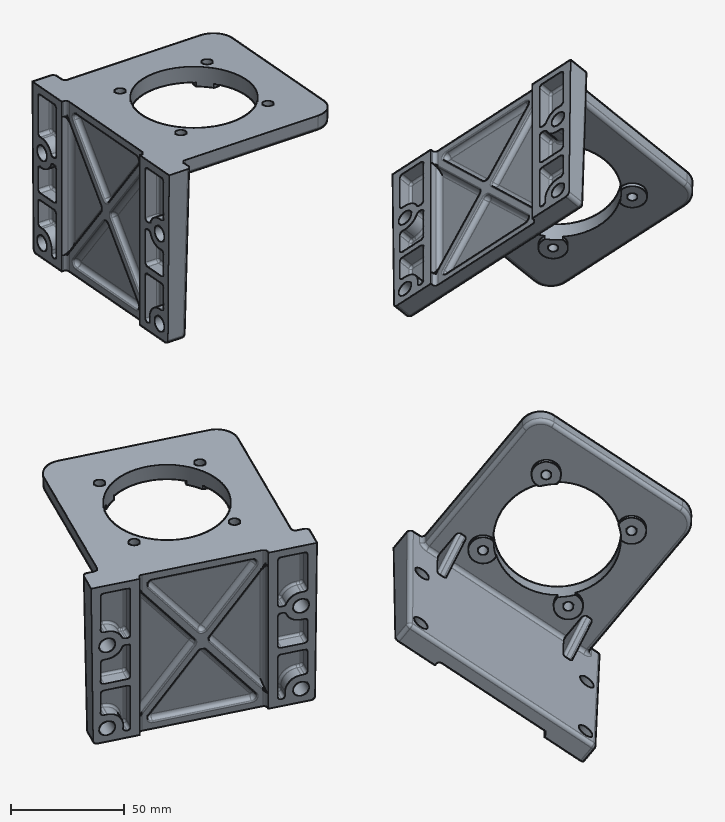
import cadquery as cq
import math

WIDTH = 105.0
DEPTH = 95.0
HEIGHT = 85.0

MARGIN = 0.1

PLATE_BOTTOM_WIDTH = 103.1
PLATE_TOP_THICKNESS = 11.8
PLATE_BOTTOM_THICKNESS = 10.0
EDGE_ROUND = 2.0

ARM_WIDTH = 90.1
ARM_THICKNESS = 8.0
ARM_CORNER_RADIUS = 10.0
ARM_DRAFT = 1.0

BORE_DIAMETER = 56.1
BORE_Y = 50.0
BOSS_HOLE_PITCH = 46.6
BOSS_HOLE_DIAMETER = 5.0
BOSS_HOLE_DRAFT = 1.5
BOSS_DIAMETER = 13.0
BOSS_HEIGHT = 2.0

GUSSET_OUTER_X = 37.0
GUSSET_THICKNESS = 5.0
GUSSET_TIP_Y = 26.8
GUSSET_TIP_Z = -22.6
GUSSET_EDGE_ROUND = 1.5

CHANNEL_HALF_WIDTH = 29.8
CHANNEL_DEPTH = 2.6
CHANNEL_FILLET = 1.8
RIB_WIDTH = 4.0
RIB_SLOPE = 1.27
RIB_EDGE_ROUND = 0.5
WEB_DEPTH = 2.8
WEB_CORNER_RADIUS = 2.3
WEB_FLOOR_FILLET = 2.2

BOLT_DIAMETER = 7.5
BOLT_X = 45.1
BOLT_PITCH = 45.1
LOWER_BOLT_Z = -77.6
UPPER_BOLT_Z = LOWER_BOLT_Z + BOLT_PITCH
BOLT_WALL_RADIUS = 7.5
PAD_INNER_X = 34.2
PAD_OUTER_X = 48.1
PAD_RIB_WIDTH = 3.6
PAD_TOP_Z = -3.9
PAD_BOTTOM_Z = -81.1
PAD_RIB_Z = -54.9
PAD_DEPTH = 7.0
PAD_CORNER_RADIUS = 1.6
PAD_FLOOR_FILLET = 1.2


def from_face(depth):
    """Sketch plane parallel to the mounting face; positive extrusion runs towards it."""
    return cq.Workplane("XZ", origin=(0, depth, 0))


def make_plate():
    front = (
        from_face(PLATE_TOP_THICKNESS)
        .polyline([
            (-WIDTH / 2, 0),
            (WIDTH / 2, 0),
            (PLATE_BOTTOM_WIDTH / 2, -HEIGHT),
            (-PLATE_BOTTOM_WIDTH / 2, -HEIGHT),
        ])
        .close()
        .extrude(PLATE_TOP_THICKNESS)
    )
    side = (
        cq.Workplane("YZ")
        .polyline([
            (0, 0),
            (PLATE_TOP_THICKNESS, 0),
            (PLATE_BOTTOM_THICKNESS, -HEIGHT),
            (0, -HEIGHT),
        ])
        .close()
        .extrude(WIDTH / 2, both=True)
    )
    plate = front.intersect(side)
    plate = plate.faces("<Z").edges("|Y").fillet(EDGE_ROUND)
    return plate.faces(">Y").edges("not(>Z)").fillet(EDGE_ROUND)


def make_arm():
    root_y = PLATE_BOTTOM_THICKNESS / 2
    half = ARM_WIDTH / 2
    arm = (
        cq.Workplane("XY")
        .moveTo(-half, root_y)
        .lineTo(half, root_y)
        .lineTo(half, DEPTH - ARM_CORNER_RADIUS)
        .radiusArc((half - ARM_CORNER_RADIUS, DEPTH), -ARM_CORNER_RADIUS)
        .lineTo(ARM_CORNER_RADIUS - half, DEPTH)
        .radiusArc((-half, DEPTH - ARM_CORNER_RADIUS), -ARM_CORNER_RADIUS)
        .close()
        .extrude(-ARM_THICKNESS, taper=ARM_DRAFT)
    )
    return arm.faces("<Z").edges("not(<Y)").fillet(EDGE_ROUND)


def join_arm(plate):
    """Join the arm to the plate with a fillet where it leaves the plate's back."""
    root_edges = cq.selectors.BoxSelector(
        (-WIDTH / 2, PLATE_BOTTOM_THICKNESS, -ARM_THICKNESS - MARGIN),
        (WIDTH / 2, PLATE_TOP_THICKNESS + MARGIN, -MARGIN),
    )
    return plate.union(make_arm()).edges(root_edges).fillet(EDGE_ROUND)


def make_gusset():
    """Triangular web under the arm on the +X side, with its sloping edges rounded."""
    root_y = PLATE_BOTTOM_THICKNESS / 2
    root_z = -ARM_THICKNESS / 2
    slope = (-ARM_THICKNESS - GUSSET_TIP_Z) / (GUSSET_TIP_Y - PLATE_TOP_THICKNESS)
    gusset = (
        cq.Workplane("YZ", origin=(GUSSET_OUTER_X - GUSSET_THICKNESS, 0, 0))
        .polyline([
            (root_y, root_z),
            (GUSSET_TIP_Y + (root_z + ARM_THICKNESS) / slope, root_z),
            (root_y, GUSSET_TIP_Z - slope * (PLATE_TOP_THICKNESS - root_y)),
        ])
        .close()
        .extrude(GUSSET_THICKNESS)
    )
    return gusset.edges("not(|X or |Y or |Z)").fillet(GUSSET_EDGE_ROUND)


def make_channel():
    channel = (
        from_face(CHANNEL_DEPTH)
        .rect(2 * CHANNEL_HALF_WIDTH, 2 * HEIGHT)
        .extrude(CHANNEL_DEPTH)
    )
    return channel.faces(">Y").edges("|Z").fillet(CHANNEL_FILLET)


def make_web_pocket(corners, round_corners):
    """Triangular pocket with a rounded floor, and a mouth flared to round the rib edges."""
    floor_y = CHANNEL_DEPTH + WEB_DEPTH
    pocket = from_face(floor_y).polyline(corners).close().extrude(WEB_DEPTH)
    pocket = pocket.edges("|Y").edges(round_corners).fillet(WEB_CORNER_RADIUS)
    pocket = pocket.faces(">Y").edges().fillet(WEB_FLOOR_FILLET)
    slab = (
        from_face(floor_y)
        .center(0, -HEIGHT / 2)
        .rect(WIDTH, HEIGHT)
        .extrude(WEB_DEPTH)
    )
    mouth = cq.selectors.BoxSelector(
        (MARGIN - WIDTH / 2, CHANNEL_DEPTH - MARGIN, MARGIN - HEIGHT),
        (WIDTH / 2 - MARGIN, CHANNEL_DEPTH + MARGIN, -MARGIN),
    )
    rounded_slab = slab.cut(pocket).edges(mouth).fillet(RIB_EDGE_ROUND)
    return slab.cut(rounded_slab)


def cut_web_pockets(body):
    """Cut four triangles so that an X of ribs is left standing in the channel."""
    centre_z = -HEIGHT / 2
    rib_half_height = RIB_WIDTH / 2 * math.hypot(1, RIB_SLOPE)
    end_height = HEIGHT / 2 - RIB_WIDTH
    end_half_width = (end_height - rib_half_height) / RIB_SLOPE
    side_half_height = RIB_SLOPE * CHANNEL_HALF_WIDTH - rib_half_height
    channel_span = cq.Workplane("XY").box(2 * CHANNEL_HALF_WIDTH, DEPTH, 2 * HEIGHT)
    for sign, apex in ((-1, ">X"), (1, "<X")):
        end_corners = [
            (0, centre_z + sign * rib_half_height),
            (end_half_width, centre_z + sign * end_height),
            (-end_half_width, centre_z + sign * end_height),
        ]
        side_corners = [
            (sign * rib_half_height / RIB_SLOPE, centre_z),
            (sign * CHANNEL_HALF_WIDTH, centre_z + side_half_height),
            (sign * CHANNEL_HALF_WIDTH, centre_z - side_half_height),
        ]
        end_pocket = make_web_pocket(end_corners, "|Y")
        side_pocket = make_web_pocket(side_corners, apex).intersect(channel_span)
        wall_opening = from_face(CHANNEL_DEPTH).polyline(side_corners).close().extrude(CHANNEL_DEPTH)
        body = body.cut(end_pocket).cut(side_pocket).cut(wall_opening)
    return body


def pad_block(x, z, width, height):
    """Block as deep as the pad pockets, centred on (x, z)."""
    return from_face(PAD_DEPTH).center(x, z).rect(width, height).extrude(PAD_DEPTH)


def bolt_wall(bolt_z):
    """Material kept around one bolt hole and out to the plate's side."""
    width = 2 * BOLT_WALL_RADIUS
    boss = from_face(PAD_DEPTH).center(BOLT_X, bolt_z).circle(BOLT_WALL_RADIUS).extrude(PAD_DEPTH)
    return boss.union(pad_block(BOLT_X + BOLT_WALL_RADIUS, bolt_z, width, width))


def make_pad_pockets():
    """Pockets of the +X pad: a strip broken by two ribs and the walls of the bolt holes."""
    half_rib = PAD_RIB_WIDTH / 2
    spans = [
        (PAD_TOP_Z, UPPER_BOLT_Z + half_rib),
        (UPPER_BOLT_Z - half_rib, PAD_RIB_Z + half_rib),
        (PAD_RIB_Z - half_rib, PAD_BOTTOM_Z),
    ]
    foot_width = 2 * BOLT_WALL_RADIUS
    foot = pad_block(BOLT_X, LOWER_BOLT_Z - BOLT_WALL_RADIUS, foot_width, foot_width)
    walls = bolt_wall(UPPER_BOLT_Z).union(bolt_wall(LOWER_BOLT_Z)).union(foot)
    middle_x = (PAD_INNER_X + PAD_OUTER_X) / 2
    width = PAD_OUTER_X - PAD_INNER_X
    pockets = cq.Workplane("XY")
    for top_z, bottom_z in spans:
        pocket = pad_block(middle_x, (top_z + bottom_z) / 2, width, top_z - bottom_z).cut(walls)
        pocket = pocket.edges("|Y").fillet(PAD_CORNER_RADIUS)
        pocket = pocket.faces(">Y").edges().fillet(PAD_FLOOR_FILLET)
        pockets = pockets.add(pocket)
    return pockets.combine()


def both_sides(part):
    return part.union(part.mirror("YZ"))


def on_boss_centres(diameter, draft=0):
    """Four round posts from the top face down to the end of the bosses."""
    return (
        cq.Workplane("XY")
        .center(0, BORE_Y)
        .rect(BOSS_HOLE_PITCH, BOSS_HOLE_PITCH, forConstruction=True)
        .vertices()
        .circle(diameter / 2)
        .extrude(-(ARM_THICKNESS + BOSS_HEIGHT), taper=draft)
    )


def make_bore():
    return cq.Workplane("XY").center(0, BORE_Y).circle(BORE_DIAMETER / 2).extrude(-HEIGHT)


def make_bolt_holes():
    return (
        from_face(DEPTH)
        .pushPoints([(x, z) for x in (-BOLT_X, BOLT_X) for z in (UPPER_BOLT_Z, LOWER_BOLT_Z)])
        .circle(BOLT_DIAMETER / 2)
        .extrude(DEPTH)
    )


result = join_arm(make_plate())
result = result.union(both_sides(make_gusset()))
result = result.union(on_boss_centres(BOSS_DIAMETER))

result = result.cut(on_boss_centres(BOSS_HOLE_DIAMETER, BOSS_HOLE_DRAFT))
result = result.cut(make_bore())

result = result.cut(make_channel())
result = cut_web_pockets(result)
result = result.cut(both_sides(make_pad_pockets()))
result = result.cut(make_bolt_holes())